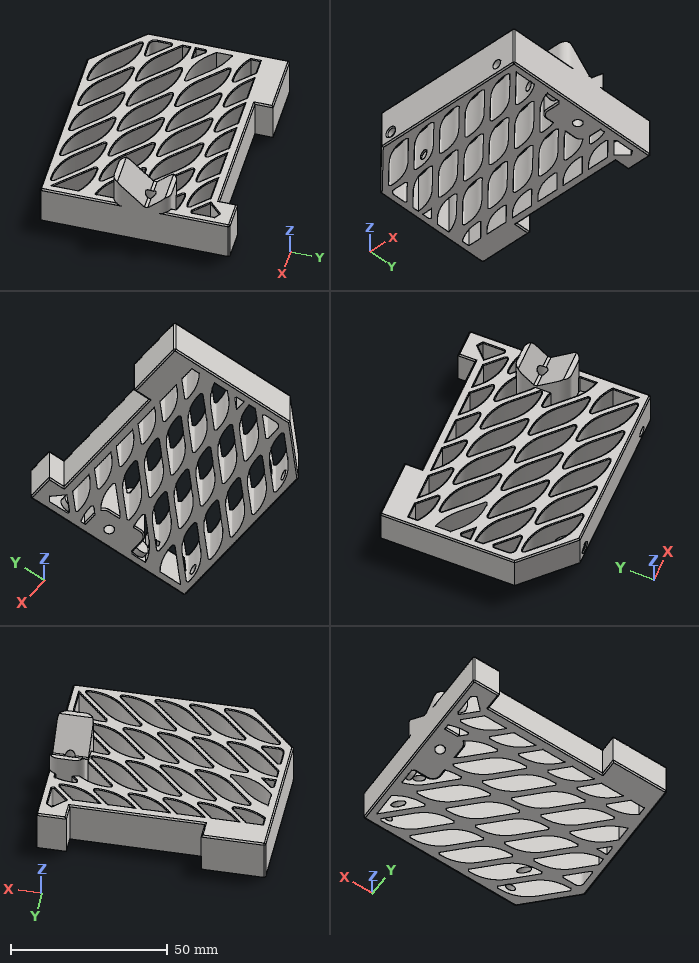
import math

import cadquery as cq

plate_length = 75.0
plate_width = 63.0
plate_height = 15.0
corner_cut = 16.0
notch_left = 21.0
notch_right = 65.0
notch_front = 57.0
edge_chamfer = 0.5

slot_chamfer = 0.3
web_thickness = 2.0
slot_width = 6.0
slot_height = 13.0
slot_belly_radius = 16.0
slot_tip_radius = 0.5
row_web = 2.05
slot_span = slot_width * math.sqrt(2)
column_pitch = slot_span + web_thickness * math.sqrt(2)
row_pitch = slot_height + row_web
row_shift = row_pitch / 2
first_slot_x = 4.05
first_slot_y = 2.5
row_columns = ((0, 5), (-1, 4), (-2, 4), (-3, 3))
tab_cell = (3, 3)
plain_rim_cell = (2, -2)
plain_rim_rear_radius = 20.0

side_wall = 2.7
rear_rail = 3.15
window_right = plate_length - side_wall
tab_relief_x = 66.1

sharp_remnant_cell = (2, -3)
round_remnant_cell = (1, -2)
remnant_corner_radius = 2.0

post_left = 63.25
post_front = 23.9
post_rear = 43.0
post_top = 25.25
post_corner_radius = 3.2
vee_floor_z = 16.2
vee_floor_width = 1.1
vee_center_y = 35.3
post_rear_top = 21.8
post_hole_diameter = 3.4
post_hole_x = 69.2

bore_z = 4.0
bore_diameter = 3.4
left_bore_x = 20.0
left_bore_depth = 16.0
left_bore_chamfer = 0.4
right_bore_x = 67.3

boss_diameter = 6.4
boss_inner_x = 70.2
boss_centers_y = (21.6, 49.3)


def make_plate():
    """Plate with a cut front corner and a rear notch.

    The three square outer corners and the top and bottom rims are chamfered.
    """
    outline = [
        (corner_cut, 0),
        (plate_length, 0),
        (plate_length, plate_width),
        (notch_right, plate_width),
        (notch_right, notch_front),
        (notch_left, notch_front),
        (notch_left, plate_width),
        (0, plate_width),
        (0, corner_cut),
    ]
    plate = cq.Workplane("XY").polyline(outline).close().extrude(plate_height)
    outer_corners = plate.edges("|Z").edges(">X or <X").edges(">Y or <Y")
    plate = outer_corners.chamfer(edge_chamfer)
    return plate.faces("<Z or >Z").edges().chamfer(edge_chamfer)


def slot_origin(row, column):
    """X of the rear left tip and Y of the front edge of a grid slot."""
    left = first_slot_x + column * column_pitch + row * row_shift
    front = first_slot_y + row * row_pitch
    return left, front


def slot_blank(row, column):
    """Sharp-cornered 45 degree parallelogram prism of one grid slot."""
    left, front = slot_origin(row, column)
    rear = front + slot_height
    outline = [
        (left, rear),
        (left + slot_span, rear),
        (left + slot_height + slot_span, front),
        (left + slot_height, front),
    ]
    return cq.Workplane("XY").polyline(outline).close().extrude(plate_height)


def leaf_slot(row, column, rear_belly_radius=slot_belly_radius):
    """Grid slot with big arcs on its wide corners and small rounds on its tips.

    A left tip or front corner beyond the side walls stays sharp, so the slot runs straight into the wall.
    """
    slot = slot_blank(row, column)
    left, front = slot_origin(row, column)
    slot = slot.edges("|Z and >X").fillet(slot_tip_radius)
    if left > side_wall:
        slot = slot.edges("|Z and <X").fillet(slot_tip_radius)
    rear_corner = (left + slot_span, front + slot_height, plate_height / 2)
    slot = slot.edges(cq.selectors.NearestToPointSelector(rear_corner)).fillet(rear_belly_radius)
    if left + slot_height < window_right:
        front_corner = (left + slot_height, front, plate_height / 2)
        slot = slot.edges(cq.selectors.NearestToPointSelector(front_corner)).fillet(slot_belly_radius)
    slot = slot.intersect(make_window())
    if (row, column) == tab_cell:
        slot = slot.edges("|Z and >X").edges("<Y").fillet(slot_tip_radius)
    return slot


def sharp_remnant():
    """Small triangle left of the third row; only its rear corner is rounded."""
    slot = slot_blank(*sharp_remnant_cell).intersect(make_window())
    return slot.edges("|Z and >Y").fillet(slot_tip_radius)


def round_remnant():
    """Small triangle left of the second row with a wide round in its front left corner."""
    slot = slot_blank(*round_remnant_cell).intersect(make_window())
    slot = slot.edges("|Z").edges(">X or >Y").fillet(slot_tip_radius)
    return slot.edges("|Z").edges("<X").edges("<Y").fillet(remnant_corner_radius)


def make_window():
    """Region inside the walls, with a 45 degree nose reaching into the right rear tab."""
    rear = notch_front - rear_rail
    outline = [
        (side_wall, 0),
        (window_right, 0),
        (window_right, rear + window_right - tab_relief_x),
        (tab_relief_x, rear),
        (side_wall, rear),
    ]
    return cq.Workplane("XY").polyline(outline).close().extrude(plate_height)


def cut_slots(plate):
    """Cut the grid and break the top rims of all slots but the plain one."""
    for row, (first_column, last_column) in enumerate(row_columns):
        for column in range(first_column, last_column + 1):
            if (row, column) != plain_rim_cell:
                plate = plate.cut(leaf_slot(row, column))
    plate = plate.cut(sharp_remnant()).cut(round_remnant())
    top_face = plate.faces(">Z").val()
    rims = [edge for wire in top_face.innerWires() for edge in wire.Edges()]
    plate = plate.newObject(rims).chamfer(slot_chamfer)
    return plate.cut(leaf_slot(*plain_rim_cell, plain_rim_rear_radius))


def bore_front_wall(plate):
    """Drill a blind left bore with a chamfered mouth and a right bore that ends at the post."""
    left_bore = front_cylinder(left_bore_x, bore_diameter / 2, left_bore_depth)
    mouth = cq.Solid.makeCone(
        bore_diameter / 2 + left_bore_chamfer,
        bore_diameter / 2,
        left_bore_chamfer,
        cq.Vector(left_bore_x, 0, bore_z),
        cq.Vector(0, 1, 0),
    )
    right_bore = front_cylinder(right_bore_x, bore_diameter / 2, post_front)
    return plate.cut(left_bore).cut(mouth).cut(right_bore)


def front_cylinder(center_x, radius, depth):
    """Cylinder running from the front face towards +Y at bore height."""
    start = cq.Vector(center_x, 0, bore_z)
    return cq.Workplane(cq.Solid.makeCylinder(radius, depth, start, cq.Vector(0, 1, 0)))


def add_bosses(plate):
    """Short round bosses that point inwards from the +X wall."""
    length = plate_length - side_wall / 2 - boss_inner_x
    for center_y in boss_centers_y:
        start = cq.Vector(boss_inner_x, center_y, bore_z)
        boss = cq.Solid.makeCylinder(boss_diameter / 2, length, start, cq.Vector(1, 0, 0))
        plate = plate.union(cq.Workplane(boss))
    return plate


def make_post():
    """Rounded post with a 45 degree V groove across its top, standing on the plate's underside."""
    groove_front = vee_center_y - vee_floor_width / 2
    groove_rear = vee_center_y + vee_floor_width / 2
    side_profile = [
        (post_front, 0),
        (post_rear, 0),
        (post_rear, post_rear_top),
        (groove_rear + post_rear_top - vee_floor_z, post_rear_top),
        (groove_rear, vee_floor_z),
        (groove_front, vee_floor_z),
        (groove_front - (post_top - vee_floor_z), post_top),
        (post_front, post_top),
    ]
    post = (
        cq.Workplane("YZ", origin=(post_left, 0, 0))
        .polyline(side_profile)
        .close()
        .extrude(plate_length - post_left)
    )
    footprint = (
        cq.Workplane("XY")
        .moveTo((post_left + plate_length) / 2, (post_front + post_rear) / 2)
        .rect(plate_length - post_left, post_rear - post_front)
        .extrude(post_top)
        .edges("|Z")
        .fillet(post_corner_radius)
        .faces("<Z")
        .edges()
        .chamfer(edge_chamfer)
    )
    return post.intersect(footprint)


def post_hole():
    """Vertical through hole in the floor of the V groove."""
    return (
        cq.Workplane("XY")
        .moveTo(post_hole_x, vee_center_y)
        .circle(post_hole_diameter / 2)
        .extrude(post_top)
    )


frame = bore_front_wall(cut_slots(make_plate()))
result = add_bosses(frame).union(make_post()).cut(post_hole())